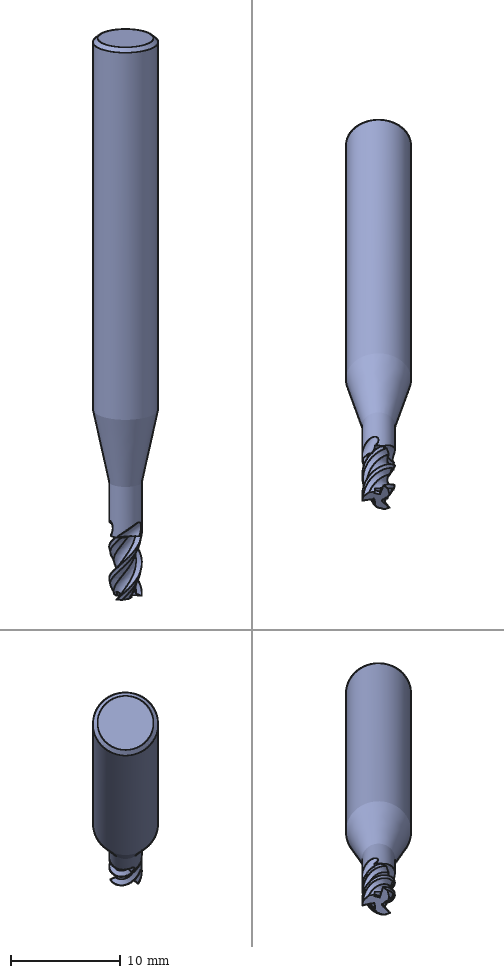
import cadquery as cq
import math

TOTAL_LENGTH = 54.0
SHANK_DIAMETER = 6.0
END_CHAMFER_HEIGHT = 0.4
END_CHAMFER_WIDTH = 0.45
TAPER_TOP = 18.05
NECK_TOP = 11.0
NECK_DIAMETER = 3.0

HEAD_LENGTH = 6.0
CUTTER_RADIUS = NECK_DIAMETER / 2
TOOTH_COUNT = 3
TOOTH_PITCH = 360 / TOOTH_COUNT
HELIX_LEAD = 9.2
TIP_EDGE_ANGLE = 57.0

CORE_RADIUS = 0.8
LAND_RADIUS = 1.4
LAND_ANGLE = 20.0
HEEL_RADIUS = 1.1
HEEL_ANGLE = 50.0
FLUTE_FLOOR_ANGLE = 85.0
RAKE_ROOT_ANGLE = 113.0
RAKE_ROOT_RADIUS = 0.95

GASH_HEIGHT = 0.45
GASH_WIDTH = 0.55
GASH_START = 0.45

RUNOUT_RADIUS = 0.75
RUNOUT_ANGLE = 50.0
RUNOUT_SLOPE = 0.65
RUNOUT_OFFSET = CORE_RADIUS + RUNOUT_RADIUS
RUNOUT_LENGTH = 4.3


def polar(radius, degrees):
    """Point in the XY plane at a radius and an angle."""
    angle = math.radians(degrees)
    return radius * math.cos(angle), radius * math.sin(angle)


def make_head():
    """Helical teeth around a core, with a gashed tip."""
    section = cq.Workplane("XY").moveTo(*polar(CUTTER_RADIUS, TIP_EDGE_ANGLE))
    for tooth in range(TOOTH_COUNT):
        edge = TIP_EDGE_ANGLE + tooth * TOOTH_PITCH
        section = (
            section.lineTo(*polar(LAND_RADIUS, edge + LAND_ANGLE))
            .lineTo(*polar(HEEL_RADIUS, edge + HEEL_ANGLE))
            .threePointArc(
                polar(CORE_RADIUS, edge + FLUTE_FLOOR_ANGLE),
                polar(RAKE_ROOT_RADIUS, edge + RAKE_ROOT_ANGLE),
            )
            .lineTo(*polar(CUTTER_RADIUS, edge + TOOTH_PITCH))
        )
    twist = 360 * HEAD_LENGTH / HELIX_LEAD
    head = section.close().twistExtrude(HEAD_LENGTH, twist)
    for tooth in range(TOOTH_COUNT):
        gash = (
            cq.Workplane("XY")
            .box(CUTTER_RADIUS, GASH_WIDTH, GASH_HEIGHT, centered=False)
            .translate((GASH_START, -GASH_WIDTH, 0))
            .rotate((0, 0, 0), (0, 0, 1), TIP_EDGE_ANGLE + tooth * TOOTH_PITCH)
        )
        head = head.cut(gash)
    return head


def make_runout(angle):
    """Round cutter that leaves the neck along the tangent of a flute."""
    start = cq.Vector(RUNOUT_OFFSET, 0, HEAD_LENGTH)
    direction = cq.Vector(0, 1, RUNOUT_SLOPE).normalized()
    cutter = cq.Solid.makeCylinder(
        RUNOUT_RADIUS, RUNOUT_LENGTH, start - direction * (RUNOUT_LENGTH / 2), direction
    )
    return cutter.rotate(cq.Vector(0, 0, 0), cq.Vector(0, 0, 1), angle)


def make_shank():
    """Chamfered shank, taper and neck, with the flutes running out at the foot."""
    shank_radius = SHANK_DIAMETER / 2
    shank = (
        cq.Workplane("XZ")
        .moveTo(0, HEAD_LENGTH)
        .lineTo(CUTTER_RADIUS, HEAD_LENGTH)
        .lineTo(CUTTER_RADIUS, NECK_TOP)
        .lineTo(shank_radius, TAPER_TOP)
        .lineTo(shank_radius, TOTAL_LENGTH - END_CHAMFER_HEIGHT)
        .lineTo(shank_radius - END_CHAMFER_WIDTH, TOTAL_LENGTH)
        .lineTo(0, TOTAL_LENGTH)
        .close()
        .revolve(360, (0, 0, 0), (0, 1, 0))
    )
    top_edge_angle = TIP_EDGE_ANGLE + 360 * HEAD_LENGTH / HELIX_LEAD
    for flute in range(TOOTH_COUNT):
        shank = shank.cut(make_runout(top_edge_angle + RUNOUT_ANGLE + flute * TOOTH_PITCH))
    return shank


head = make_head()
shank = make_shank()
result = cq.Compound.makeCompound([head.val(), shank.val()])